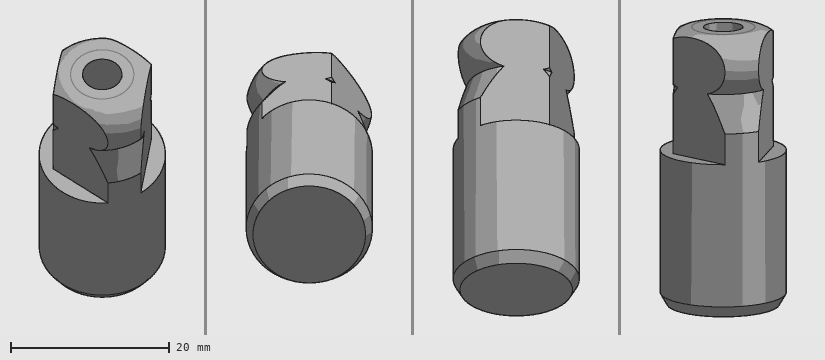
import cadquery as cq
import math

height = 36.0
radius = 16.0 / 2

chamfer_height = 1.5
chamfer_angle = math.radians(30)
bottom_radius = radius - chamfer_height * math.tan(chamfer_angle)

shoulder_z = 20.0
neck_base_z = 24.0
groove_radius = 6.3

head_round = radius / 2
head_center_r = radius - head_round
head_center_z = height - head_round
groove_z = head_center_z - math.sqrt(head_round**2 - (groove_radius - head_center_r)**2)

ridge_radius = 6.65
flat_slope = math.radians(30)

bore_radius = 2.5
bore_depth = 9.0


def turned_body():
    """Solid of revolution about Z: shank, neck cone and rounded head."""
    return (
        cq.Workplane("XZ")
        .lineTo(bottom_radius, 0)
        .lineTo(radius, chamfer_height)
        .lineTo(radius, neck_base_z)
        .lineTo(groove_radius, groove_z)
        .threePointArc((radius, head_center_z), (head_center_r, height))
        .lineTo(0, height)
        .close()
        .revolve(360, (0, 0, 0), (0, 1, 0))
    )


def flats_cutter():
    """Ring of material outside the rhombus of flats, above the shoulder."""
    side_radius = ridge_radius / math.tan(flat_slope)
    rhombus = [(0, ridge_radius), (side_radius, 0), (0, -ridge_radius), (-side_radius, 0)]
    base = cq.Workplane("XY").workplane(offset=shoulder_z)
    kept = base.polyline(rhombus).close().extrude(height - shoulder_z)
    return base.circle(side_radius).extrude(height - shoulder_z).cut(kept)


bore = (
    cq.Workplane("XY")
    .workplane(offset=height - bore_depth)
    .circle(bore_radius)
    .extrude(bore_depth)
)

result = turned_body().cut(flats_cutter()).cut(bore)